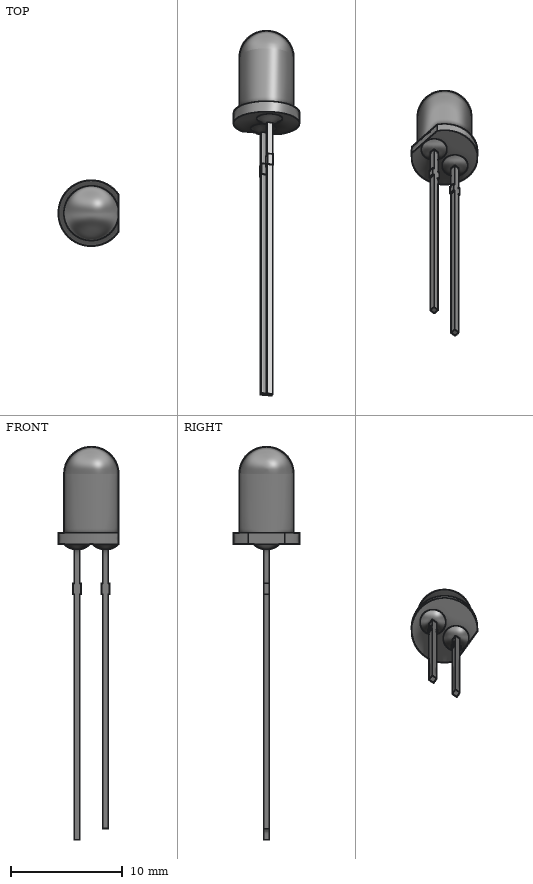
import cadquery as cq
import math

lens_diameter = 4.9
lens_radius = lens_diameter / 2
lens_height = 8.7
flange_diameter = 5.9
flange_radius = flange_diameter / 2
flange_height = 1.0

lead_pitch = 2.54
lead_width = 0.5
long_lead_length = 26.4
short_lead_length = 25.4
collar_width = 0.75
collar_height = 1.0
collar_depth_below_base = 3.5

meniscus_radius = 1.15
meniscus_height = 0.5


def make_lens():
    """Revolve the flange, cylinder and dome, then cut the polarity flat on +X."""
    dome_base_height = lens_height - lens_radius
    dome_mid_offset = lens_radius * math.cos(math.radians(45))
    dome_mid = (dome_mid_offset, dome_base_height + dome_mid_offset)
    body = (
        cq.Workplane("XZ")
        .lineTo(flange_radius, 0)
        .lineTo(flange_radius, flange_height)
        .lineTo(lens_radius, flange_height)
        .lineTo(lens_radius, dome_base_height)
        .threePointArc(dome_mid, (0, lens_height))
        .close()
        .revolve(360, (0, 0, 0), (0, 1, 0))
    )
    flat_cutter = (
        cq.Workplane("XY")
        .box(flange_diameter, flange_diameter, flange_height, centered=(False, True, False))
        .translate((lens_radius, 0, 0))
    )
    return body.cut(flat_cutter)


def make_lead(x, length):
    """Square lead hanging from the base, with its collar widened along X."""
    wire = (
        cq.Workplane("XY")
        .center(x, 0)
        .rect(lead_width, lead_width)
        .extrude(-length)
    )
    collar = (
        cq.Workplane("XY")
        .workplane(offset=-collar_depth_below_base)
        .center(x, 0)
        .rect(collar_width, lead_width)
        .extrude(-collar_height)
    )
    return wire.union(collar)


def make_meniscus(x):
    """Spherical cap under the base, cut from a sphere centred inside the lens."""
    sphere_radius = (meniscus_radius**2 + meniscus_height**2) / (2 * meniscus_height)
    sphere_center_height = sphere_radius - meniscus_height
    sphere = cq.Workplane("XY").sphere(sphere_radius).translate((x, 0, sphere_center_height))
    below_base = (
        cq.Workplane("XY")
        .center(x, 0)
        .rect(2 * sphere_radius, 2 * sphere_radius)
        .extrude(-2 * meniscus_height)
    )
    return sphere.intersect(below_base)


result = make_lens()
for lead_x, lead_length in (
    (-lead_pitch / 2, long_lead_length),
    (lead_pitch / 2, short_lead_length),
):
    result = result.union(make_meniscus(lead_x))
    result = result.union(make_lead(lead_x, lead_length))